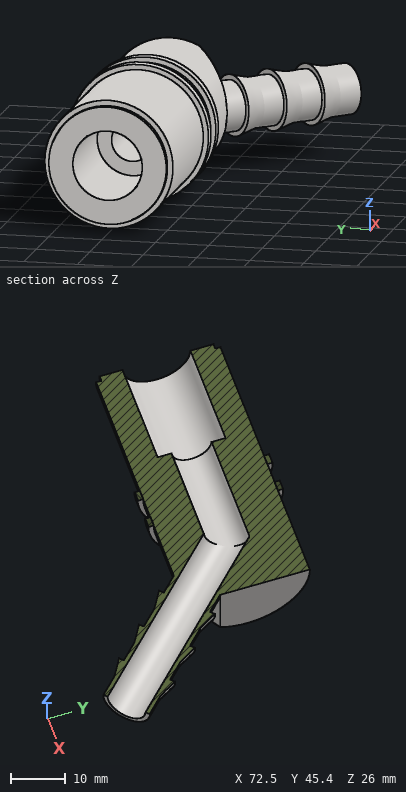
import cadquery as cq
import math


overall_length = 72.55
body_length = 52.1
body_diameter = 24.0
nose_length = 1.0
nose_diameter = 22.0
socket_diameter = 13.0
socket_depth = 20.0
bore_diameter = 7.6

ring_diameter = 26.0
ring_width = 2.0
ring_pitch = 6.0
first_ring_start = 25.9

spigot_angle = 45.0
spigot_diameter = 9.5
barb_diameter = 11.5
barb_length = 4.0
barb_pitch = 8.2
barb_count = 3
spigot_tip_length = 4.5

cos_angle = math.cos(math.radians(spigot_angle))
sin_angle = math.sin(math.radians(spigot_angle))
spigot_direction = cq.Vector(cos_angle, -sin_angle, 0)

corner_along = spigot_diameter * sin_angle
corner_across = spigot_diameter * cos_angle
spigot_root = cq.Vector(body_length - corner_along / 2, -(body_diameter - corner_across) / 2, 0)
spigot_length = (overall_length - corner_along / 2 - spigot_root.x) / cos_angle
spigot_tip = spigot_root + spigot_direction * spigot_length

elbow = cq.Vector(spigot_root.x + spigot_root.y * cos_angle / sin_angle, 0, 0)

ring_starts = [first_ring_start, first_ring_start + ring_pitch]


def x_plane(x):
    """Plane across the body axis at the given X."""
    return cq.Workplane("YZ", origin=(x, 0, 0))


def spigot_plane(distance):
    """Plane across the spigot axis, at a distance from the elbow."""
    origin = elbow + spigot_direction * distance
    return cq.Workplane(cq.Plane(origin=origin, xDir=(0, 0, 1), normal=spigot_direction))


def body_shell():
    """Round body with a stepped nose and a slanted face for the spigot."""
    nose = x_plane(0).circle(nose_diameter / 2).extrude(nose_length)
    barrel = x_plane(nose_length).circle(body_diameter / 2).extrude(body_length - nose_length)
    side = -body_diameter / 2
    corner = (
        cq.Workplane("XY")
        .polyline([
            (body_length - corner_along, side),
            (body_length, side),
            (body_length, side + corner_across),
        ])
        .close()
        .extrude(body_diameter / 2, both=True)
    )
    return nose.union(barrel).cut(corner)


def spigot():
    """Hose spigot, rooted at the elbow, with conical barbs that taper towards its tip."""
    tip_distance = (spigot_tip - elbow).Length
    tube = spigot_plane(0).circle(spigot_diameter / 2).extrude(tip_distance)
    last_barb_start = tip_distance - spigot_tip_length - barb_length
    for index in range(barb_count):
        barb = (
            spigot_plane(last_barb_start - index * barb_pitch)
            .circle(barb_diameter / 2)
            .workplane(offset=barb_length)
            .circle(spigot_diameter / 2)
            .loft(ruled=True)
        )
        tube = tube.union(barb)
    return tube


def flow_passage():
    """Wide inlet socket and a mitred bore that bends at the elbow and leaves at the tip."""
    socket = x_plane(0).circle(socket_diameter / 2).extrude(socket_depth)
    path = cq.Workplane("XY").polyline([(0, 0), elbow.toTuple()[:2], spigot_tip.toTuple()[:2]])
    bore = x_plane(0).circle(bore_diameter / 2).sweep(path, transition="right")
    return socket.union(bore)


def make_connector():
    """Body and spigot as one solid, with the flow passage cut through both."""
    return body_shell().union(spigot()).cut(flow_passage()).solids()


def make_ring(start):
    """Square-edged sealing ring that sits on the body surface."""
    return x_plane(start).circle(ring_diameter / 2).circle(body_diameter / 2).extrude(ring_width)


connector = make_connector()
rings = [make_ring(start) for start in ring_starts]

result = cq.Compound.makeCompound([connector.val(), *[ring.val() for ring in rings]])